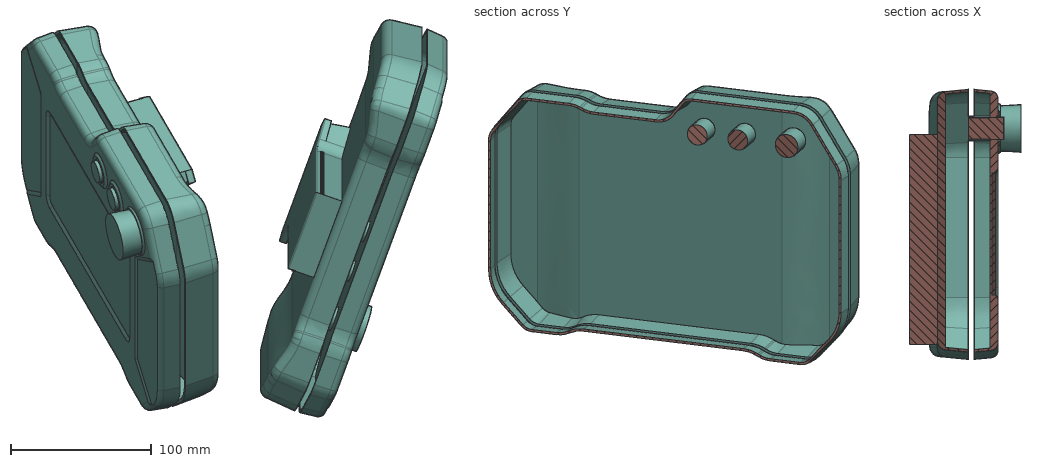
import cadquery as cq
import math

GAP = 4.0
FRONT_FACE_Y = -19.2
BACK_FACE_Y = 24.0
HUMP_FACE_Y = 30.0
DRAFT = 5.5
SHELL_WALL = 2.0
SHELL_FLOOR = 6.0
FRONT_EDGE_RADIUS = 5.7
BACK_EDGE_RADIUS = 6.8
TOLERANCE = 0.03
SHELL_HALF_LENGTH = 135.0
SHELL_BOTTOM_Z = -95.8
SHELL_TOP_Z = 95.8

SHOULDER_Z = 81.3
TOP_WAIST_Z = 77.0
BOTTOM_WAIST_Z = -90.7
SHELL_CORNERS = [
    (-SHELL_HALF_LENGTH, 50.0, 13.5),
    (-110.0, SHOULDER_Z, 10.8),
    (-68.0, SHOULDER_Z, 21.5),
    (-58.3, TOP_WAIST_Z, 21.5),
    (0, TOP_WAIST_Z, 13.5),
    (14.8, SHELL_TOP_Z, 10.8),
    (107.7, SHELL_TOP_Z, 19),
    (SHELL_HALF_LENGTH, 53.7, 21.5),
    (SHELL_HALF_LENGTH, -65.3, 35),
    (108, SHELL_BOTTOM_Z, 12.2),
    (74.8, SHELL_BOTTOM_Z, 21.5),
    (64.5, BOTTOM_WAIST_Z, 21.5),
    (-67.2, BOTTOM_WAIST_Z, 21.5),
    (-77.0, SHELL_BOTTOM_Z, 21.5),
    (-106.0, SHELL_BOTTOM_Z, 12.2),
    (-SHELL_HALF_LENGTH, -66.7, 36.5),
]

HUMP_INNER_X = 77.0
HUMP_OUTER_X = 110.7

PANEL_CENTRE_Z = -6.8
SCREEN_LENGTH = 155.5
SCREEN_HEIGHT = 86.0
SCREEN_CORNER_RADIUS = 4.9
SCREEN_BEZEL_WIDTH = 3.2
SCREEN_DEPTH = 1.5
SCREEN_THICKNESS = 2.7
GRIP_INNER_X = 90.7
GRIP_HALF_HEIGHT = 49.5
GRIP_EDGE_SLOPE = 0.77
GRIP_DEPTH = 1.0
GRIP_WALL_WIDTH = 2.7

CONTROLS_Z = 68.0
BUTTON_XS = (24.5, 55.4)
BUTTON_STEM_DIAMETER = 15.5
BUTTON_CAP_DIAMETER = 16.0
BUTTON_CAP_HEIGHT = 4.0
BEZEL_BASE_DIAMETER = 26.5
BEZEL_TOP_DIAMETER = 22.1
BEZEL_BORE = 17.5
BEZEL_HEIGHT = 1.5
KNOB_X = 92.3
KNOB_STEM_DIAMETER = 17.5
KNOB_BASE_DIAMETER = 32.5
KNOB_TIP_DIAMETER = 34.0
KNOB_TIP_Y = -35.5
COLLAR_BASE_DIAMETER = 36.0
COLLAR_TOP_DIAMETER = 34.0
COLLAR_HEIGHT = 1.5

PACK_X = 1.5
PACK_BACK_Y = 43.7
PACK_TOP_Z = 63.7
PACK_BOTTOM_Z = -85.3
PACK_BASE_HALF_WIDTH = 47.8
PACK_NECK_HALF_WIDTH = 45.5
PACK_LIP_HALF_WIDTH = 47.8
PACK_LIP_THICKNESS = 5.5
PACK_TOP_HALF_WIDTH = 41.0
PACK_HEAD_Z = 57.5
PACK_UNDERCUT_HALF_WIDTH = 35.6
PACK_UNDERCUT_Z = 44.3
PACK_GRIP_HALF_WIDTH = 29.7
PACK_GRIP_TOP_Z = 32.5
PACK_EDGE_RADIUS = 0.8
TOOTH_COUNT = 30
TOP_TOOTH_Z = 30.8
BOTTOM_TOOTH_Z = -83.2
TOOTH_HEIGHT = 2.0
TOOTH_WIDTH = 2.5
TOOTH_PROJECTION = 0.8
TOOTH_Y = 39.2


def front_plane(y):
    """Workplane at a given Y whose extrusions run towards the front."""
    return cq.Workplane("XZ", origin=(0, y, 0))


def rounded_outline(plane, corners):
    """Closed outline through (x, z, radius) corners, each rounded by a tangent arc."""
    stretches = []
    for i, (x, z, radius) in enumerate(corners):
        corner = cq.Vector(x, z)
        to_previous = (cq.Vector(*corners[i - 1][:2]) - corner).normalized()
        to_next = (cq.Vector(*corners[(i + 1) % len(corners)][:2]) - corner).normalized()
        half_angle = to_previous.getAngle(to_next) / 2
        tangent_length = radius / math.tan(half_angle)
        bisector = (to_previous + to_next).normalized()
        middle = corner + bisector * (radius / math.sin(half_angle) - radius)
        stretches.append((corner + to_previous * tangent_length, middle, corner + to_next * tangent_length))

    last_end = stretches[-1][2]
    outline = plane.moveTo(last_end.x, last_end.y)
    for start, middle, end in stretches:
        outline = outline.lineTo(start.x, start.y)
        outline = outline.threePointArc((middle.x, middle.y), (end.x, end.y))
    return outline.close()


def shell_block(depth):
    """Drafted block growing from the gap towards the front."""
    return rounded_outline(front_plane(-GAP / 2), SHELL_CORNERS).extrude(depth, taper=DRAFT)


def shell_cavity(depth):
    """Drafted space one side wall inside the shell block."""
    outline = rounded_outline(front_plane(-GAP / 2), SHELL_CORNERS)
    return outline.offset2D(-SHELL_WALL).extrude(depth, taper=DRAFT)


def cone_ring(x, base_diameter, top_diameter, height, bore):
    """Conical ring standing on the front face."""
    base_radius = base_diameter / 2
    top_radius = top_diameter / 2
    return (
        cq.Workplane("XY", origin=(x, FRONT_FACE_Y, CONTROLS_Z))
        .moveTo(bore / 2, 0)
        .lineTo(base_radius, 0)
        .lineTo(top_radius, -height)
        .lineTo(bore / 2, -height)
        .close()
        .revolve(360, (0, 0, 0), (0, 1, 0))
    )


def stem(x, diameter):
    """Shaft from the rim level of the back shell, across the gap, to the front face."""
    return (
        front_plane(GAP / 2)
        .center(x, CONTROLS_Z)
        .circle(diameter / 2)
        .extrude(GAP / 2 - FRONT_FACE_Y)
    )


SCREEN_FACE_Y = FRONT_FACE_Y + SCREEN_DEPTH


def make_screen():
    return (
        front_plane(SCREEN_FACE_Y + SCREEN_THICKNESS)
        .center(0, PANEL_CENTRE_Z)
        .rect(SCREEN_LENGTH, SCREEN_HEIGHT)
        .extrude(SCREEN_THICKNESS)
        .edges("|Y")
        .fillet(SCREEN_CORNER_RADIUS)
    )


def screen_border():
    """Sloping recess that widens from the screen to the front face."""
    slope = math.degrees(math.atan2(SCREEN_BEZEL_WIDTH, SCREEN_DEPTH))
    half_length = SCREEN_LENGTH / 2
    top_z = PANEL_CENTRE_Z + SCREEN_HEIGHT / 2
    bottom_z = PANEL_CENTRE_Z - SCREEN_HEIGHT / 2
    corners = [
        (-half_length, top_z, SCREEN_CORNER_RADIUS),
        (half_length, top_z, SCREEN_CORNER_RADIUS),
        (half_length, bottom_z, SCREEN_CORNER_RADIUS),
        (-half_length, bottom_z, SCREEN_CORNER_RADIUS),
    ]
    return rounded_outline(front_plane(SCREEN_FACE_Y), corners).extrude(SCREEN_DEPTH, taper=-slope)


def grip_recess(side):
    """Shallow recess at one end; side is -1 for the left and +1 for the right."""
    slope = math.degrees(math.atan2(GRIP_WALL_WIDTH, GRIP_DEPTH))
    inner_x = GRIP_INNER_X + GRIP_WALL_WIDTH
    outer_x = SHELL_HALF_LENGTH + 2 * GRIP_WALL_WIDTH
    edge_half_height = GRIP_HALF_HEIGHT - GRIP_WALL_WIDTH / 2
    end_half_height = edge_half_height + GRIP_EDGE_SLOPE * (outer_x - inner_x)
    return (
        front_plane(FRONT_FACE_Y + GRIP_DEPTH)
        .polyline([
            (side * inner_x, PANEL_CENTRE_Z + edge_half_height),
            (side * inner_x, PANEL_CENTRE_Z - edge_half_height),
            (side * outer_x, PANEL_CENTRE_Z - end_half_height),
            (side * outer_x, PANEL_CENTRE_Z + end_half_height),
        ])
        .close()
        .extrude(GRIP_DEPTH, taper=-slope)
    )


def make_front_shell(screen):
    depth = -FRONT_FACE_Y - GAP / 2
    shell = shell_block(depth).faces("<Y").edges().fillet(FRONT_EDGE_RADIUS)
    shell = shell.cut(shell_cavity(depth - SHELL_FLOOR))
    shell = shell.cut(screen_border()).cut(screen)
    for side in (-1, 1):
        shell = shell.cut(grip_recess(side))
    for x in BUTTON_XS:
        shell = shell.cut(stem(x, BUTTON_STEM_DIAMETER))
    return shell.cut(stem(KNOB_X, KNOB_STEM_DIAMETER))


def back_profile():
    """Prism below the back surface: flat middle sweeping up to both ends."""
    end_x = SHELL_HALF_LENGTH
    level = (1, 0)
    return (
        cq.Workplane("XY", origin=(0, 0, SHELL_BOTTOM_Z))
        .moveTo(-end_x, 0)
        .lineTo(-end_x, HUMP_FACE_Y)
        .lineTo(-HUMP_OUTER_X, HUMP_FACE_Y)
        .spline([(-HUMP_INNER_X, BACK_FACE_Y)], tangents=[level, level], includeCurrent=True)
        .lineTo(HUMP_INNER_X, BACK_FACE_Y)
        .spline([(HUMP_OUTER_X, HUMP_FACE_Y)], tangents=[level, level], includeCurrent=True)
        .lineTo(end_x, HUMP_FACE_Y)
        .lineTo(end_x, 0)
        .close()
        .extrude(SHELL_TOP_Z - SHELL_BOTTOM_Z)
    )


def is_back_rim(edge):
    """True around the back surface, but not where its flat and curved stretches meet."""
    centre = edge.Center()
    runs_upright = abs(edge.tangentAt(0).x) + abs(edge.tangentAt(0).y) < TOLERANCE
    meets_a_curve = runs_upright and abs(centre.x) < HUMP_OUTER_X + TOLERANCE
    return centre.y > BACK_FACE_Y - TOLERANCE and not meets_a_curve


def make_back_shell():
    block = shell_block(HUMP_FACE_Y).mirror("XZ").intersect(back_profile())
    rounded = block.edges().filter(is_back_rim).fillet(BACK_EDGE_RADIUS)
    cavity = shell_cavity(HUMP_FACE_Y).mirror("XZ")
    cavity = cavity.intersect(back_profile().translate((0, -SHELL_FLOOR, 0)))
    return rounded.cut(cavity)


def make_button(x):
    cap = front_plane(FRONT_FACE_Y).center(x, CONTROLS_Z).circle(BUTTON_CAP_DIAMETER / 2)
    return stem(x, BUTTON_STEM_DIAMETER).union(cap.extrude(BUTTON_CAP_HEIGHT))


def make_button_bezel(x):
    return cone_ring(x, BEZEL_BASE_DIAMETER, BEZEL_TOP_DIAMETER, BEZEL_HEIGHT, BEZEL_BORE)


def make_knob_collar():
    return cone_ring(KNOB_X, COLLAR_BASE_DIAMETER, COLLAR_TOP_DIAMETER, COLLAR_HEIGHT, KNOB_STEM_DIAMETER)


def make_knob():
    """Grip that widens slightly to its tip, on a stem through the collar."""
    stem_radius = KNOB_STEM_DIAMETER / 2
    grip_y = FRONT_FACE_Y - COLLAR_HEIGHT
    return (
        cq.Workplane("XY", origin=(KNOB_X, 0, CONTROLS_Z))
        .moveTo(0, GAP / 2)
        .lineTo(stem_radius, GAP / 2)
        .lineTo(stem_radius, grip_y)
        .lineTo(KNOB_BASE_DIAMETER / 2, grip_y)
        .lineTo(KNOB_TIP_DIAMETER / 2, KNOB_TIP_Y)
        .lineTo(0, KNOB_TIP_Y)
        .close()
        .revolve(360, (0, 0, 0), (0, 1, 0))
    )


def pack_outline(y, head_half_width):
    """Wide head whose slanted underside rounds into straight, narrower sides."""
    return (
        front_plane(y)
        .center(PACK_X, 0)
        .moveTo(0, PACK_BOTTOM_Z)
        .lineTo(PACK_GRIP_HALF_WIDTH, PACK_BOTTOM_Z)
        .lineTo(PACK_GRIP_HALF_WIDTH, PACK_GRIP_TOP_Z)
        .tangentArcPoint((PACK_UNDERCUT_HALF_WIDTH, PACK_UNDERCUT_Z), relative=False)
        .lineTo(head_half_width, PACK_HEAD_Z)
        .lineTo(PACK_TOP_HALF_WIDTH, PACK_TOP_Z)
        .lineTo(0, PACK_TOP_Z)
        .mirrorY()
    )


def pack_teeth(side):
    """Column of small grip teeth down one side; side is -1 or +1."""
    pitch = (TOP_TOOTH_Z - BOTTOM_TOOTH_Z) / (TOOTH_COUNT - 1)
    places = [(0, 0, TOP_TOOTH_Z - i * pitch) for i in range(TOOTH_COUNT)]
    side_x = PACK_X + side * PACK_GRIP_HALF_WIDTH
    return (
        cq.Workplane("XY", origin=(side_x, TOOTH_Y, 0))
        .pushPoints(places)
        .box(2 * TOOTH_PROJECTION, TOOTH_WIDTH, TOOTH_HEIGHT)
    )


def make_pack():
    """Body narrowing from the shell to a neck, under a lip that overhangs the head."""
    neck_y = PACK_BACK_Y - PACK_LIP_THICKNESS
    base_wire = pack_outline(BACK_FACE_Y, PACK_BASE_HALF_WIDTH).val()
    neck_wire = pack_outline(neck_y, PACK_NECK_HALF_WIDTH).val()
    body = cq.Workplane(obj=cq.Solid.makeLoft([base_wire, neck_wire], True))
    lip = pack_outline(PACK_BACK_Y, PACK_LIP_HALF_WIDTH).extrude(PACK_LIP_THICKNESS)
    lip = lip.faces(">Y").edges().fillet(PACK_EDGE_RADIUS)
    pack = body.union(lip)
    for side in (-1, 1):
        pack = pack.union(pack_teeth(side))
    return pack


screen = make_screen()
front_shell = make_front_shell(screen)
back_shell = make_back_shell()
buttons = [make_button(x) for x in BUTTON_XS]
button_bezels = [make_button_bezel(x) for x in BUTTON_XS]
knob = make_knob()
knob_collar = make_knob_collar()
pack = make_pack()

bodies = [front_shell, back_shell, screen, *buttons, *button_bezels, knob, knob_collar, pack]
result = cq.Compound.makeCompound([solid for body in bodies for solid in body.solids().vals()])